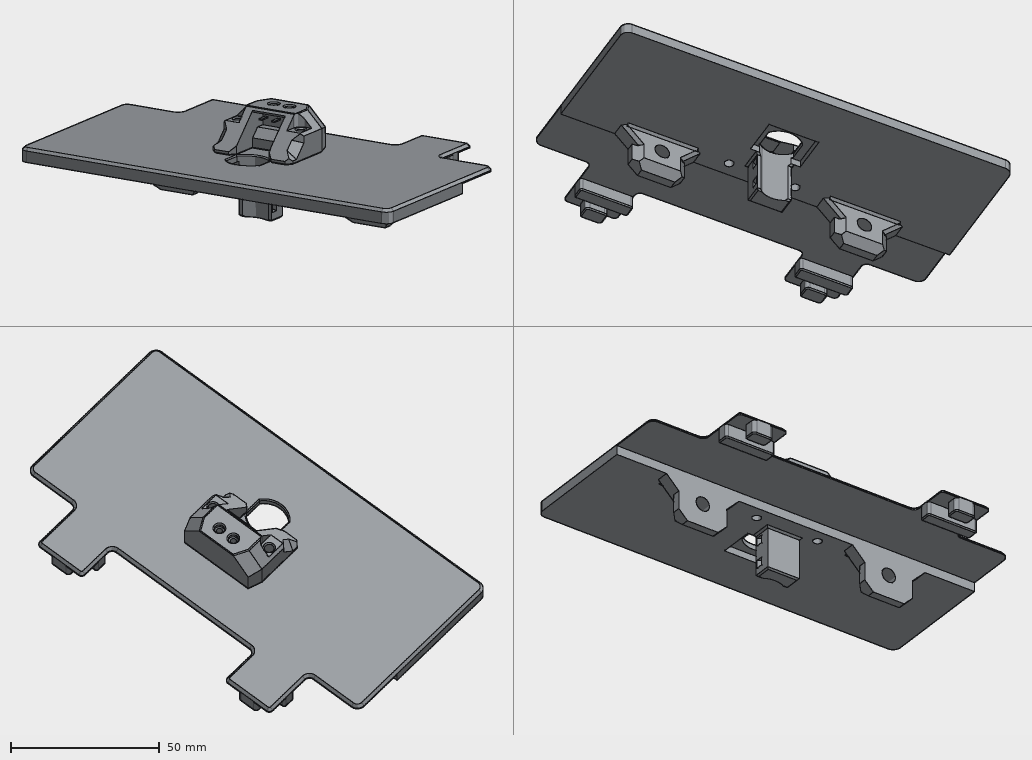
import cadquery as cq
import math


plate_length = 147.6
plate_depth = 66.0
middle_depth = 70.8
tab_depth = 86.0
tab_width = 20.0
tab_center_x = 41.8
thick = 5.0
thin = 1.5
thick_depth = 46.0
corner_radius = 3.0
tab_tip_radius = 1.5
tab_root_radius = 2.0
edge_chamfer = 1.0

foot_bottom = -6.6
foot_chamfer = 0.5
front_foot_depth = 4.9
front_foot_rear = 78.5
front_foot_radius = 0.9
rear_foot_depth = 5.3
rear_foot_width = 8.3
rear_foot_radius = 1.3

lug_x = 38.4
lug_width = 19.8
lug_depth = 5.9
lug_bottom = -20.7
lug_chamfer = 3.0
lug_corner = 3.5
lug_hole_diameter = 5.5
lug_hole_z = -11.7
gusset_top_width = 30.0
gusset_height = 6.5
gusset_chamfer = 1.2
root_flare = 0.9

opening_y = 27.5
opening_size = 13.0
opening_radius = 8.4
opening_chamfer = 0.5
lip_thickness = 2.4
relief_margin = 3.0
relief_back = 31.5
sleeve_front = 32.2
sleeve_back = 39.0
sleeve_bottom = -21.7
sleeve_chamfer = 0.6
sleeve_flare = 0.7
tie_inner_radius = 9.6
tie_outer_radius = 11.7
tie_height = 3.1
tie_levels = (-8.1, -17.0)

holder_width = 31.9
holder_height = 14.3
holder_back = 53.7
holder_front = 28.6
side_bevel = 5.9
toe_height = 1.3
back_taper_depth = 5.0
back_taper_base = 1.8
back_taper_top = 2.7
top_chamfer = 0.3
base_chamfer = 0.5
leg_chamfer = 1.9
bevel_size = 3.0
bevel_start_y = 37.5
channel_width = opening_size
sill_front = 40.6
sill_slope = 3.1

screw_x = 12.5
screw_y = 41.0
screw_diameter = 3.2
screw_chamfer = 0.5
seat_z = 9.5
seat_radius = 3.0

switch_bottom = 6.8
switch_top = 12.7
switch_front = 47.0
switch_back = 53.1
mount_x = 3.1
mount_y = 48.5
mount_diameter = 3.4
mount_chamfer = 0.5
switch_hole_diameter = 2.0
sill_hole_diameter = 1.9
sill_hole_depth = 4.5
terminal_pitch = 5.0
terminal_width = 1.2
terminal_thickness = 0.5
terminal_length = 3.8

both_sides = (-1, 1)


def block(x0, x1, y0, y1, z0, z1):
    return cq.Workplane("XY").box(x1 - x0, y1 - y0, z1 - z0, centered=False).translate((x0, y0, z0))


def prism_along_x(points, width):
    """Extrude a (y, z) outline symmetrically about X = 0."""
    return cq.Workplane("YZ").polyline(points).close().extrude(width / 2, both=True)


def cylinder(x, y, diameter, z0, z1):
    return cq.Workplane("XY", origin=(x, y, z0)).circle(diameter / 2).extrude(z1 - z0)


def chamfered_rim(x, y, diameter, chamfer, z):
    """Conical cutter that opens a hole upward to its rim at height z."""
    cone = cq.Solid.makeCone(diameter / 2, diameter / 2 + chamfer, chamfer, pnt=cq.Vector(x, y, z - chamfer))
    return cq.Workplane("XY").add(cone)



def slab():
    half = plate_length / 2
    body = block(-half, half, 0, plate_depth, -thin, 0)
    inner = tab_center_x - tab_width / 2
    body = body.union(block(-inner, inner, 0, middle_depth, -thin, 0))
    for side in both_sides:
        x = side * tab_center_x
        body = body.union(block(x - tab_width / 2, x + tab_width / 2, 0, tab_depth, -thin, 0))
    body = body.union(block(-half, half, 0, thick_depth, -thick, 0)).clean()

    outer = tab_center_x + tab_width / 2

    def upright_edges(points):
        picked = cq.selectors.BoxSelector((0, 0, 0), (0, 0, 0))
        for x, y in points:
            box = cq.selectors.BoxSelector((x - 0.1, y - 0.1, -thick), (x + 0.1, y + 0.1, 0))
            picked = picked + box
        return body.edges("|Z").edges(picked)

    mirrored = [(s * half, y) for s in both_sides for y in (0, plate_depth)]
    body = upright_edges(mirrored).fillet(corner_radius)
    body = upright_edges([(s * x, tab_depth) for s in both_sides for x in (inner, outer)]).fillet(tab_tip_radius)
    roots = [(s * x, y) for s in both_sides for x, y in ((inner, middle_depth), (outer, plate_depth))]
    body = upright_edges(roots).fillet(tab_root_radius)
    return body.faces(">Z").edges().chamfer(edge_chamfer)


def tab_feet(x):
    def foot(width, y_rear, depth, radius):
        shape = block(x - width / 2, x + width / 2, y_rear - depth, y_rear, foot_bottom, -edge_chamfer)
        return shape.edges("|Z").fillet(radius).faces("<Z").edges().chamfer(foot_chamfer)

    front = foot(tab_width, front_foot_rear, front_foot_depth, front_foot_radius)
    rear = foot(rear_foot_width, tab_depth, rear_foot_depth, rear_foot_radius)
    return front.union(rear.intersect(block(x - tab_width, x + tab_width, 0, tab_depth, foot_bottom, -thin)))


def lug():
    half = lug_width / 2
    front = thick_depth - lug_depth
    plate = block(-half, half, front, thick_depth, lug_bottom, -thick)
    plate = plate.faces("<Y").edges("|Z or <Z").chamfer(lug_chamfer)
    for side in both_sides:
        corner = [
            (side * half, lug_bottom),
            (side * (half - lug_corner), lug_bottom),
            (side * half, lug_bottom + lug_corner),
        ]
        cutter = cq.Workplane("XZ", origin=(0, thick_depth, 0)).polyline(corner).close().extrude(lug_depth)
        plate = plate.cut(cutter)

    top = gusset_top_width / 2
    foot = top - gusset_height
    outline = [(-top, -thick), (top, -thick), (foot, -thick - gusset_height), (-foot, -thick - gusset_height)]
    gusset = cq.Workplane("XZ", origin=(0, thick_depth, 0)).polyline(outline).close().extrude(lug_depth)
    gusset = gusset.faces("<Y").edges("not |X").chamfer(gusset_chamfer)

    flare_width = gusset_top_width - 2 * gusset_chamfer * math.sqrt(2)
    flare = prism_along_x(
        [(front, -thick), (front - root_flare, -thick), (front, -thick - root_flare)], flare_width
    )
    body = plate.union(gusset).union(flare)
    hole = cq.Workplane("XZ", origin=(0, thick_depth, lug_hole_z)).circle(lug_hole_diameter / 2).extrude(lug_depth)
    return body.cut(hole)


def opening():
    """Cable opening with straight sides and arched ends."""
    half = opening_size / 2
    shoulder = half - opening_radius + math.sqrt(opening_radius ** 2 - half ** 2)
    return (
        cq.Workplane("XY", origin=(0, opening_y, -thick))
        .moveTo(-half, -shoulder)
        .threePointArc((0, -half), (half, -shoulder))
        .lineTo(half, shoulder)
        .threePointArc((0, half), (-half, shoulder))
        .close()
        .extrude(thick)
    )


def opening_relief():
    """Shallow recess under the plate, around the part of the opening ahead of the sleeve."""
    reach = opening_size / 2 + relief_margin
    return block(-reach, reach, opening_y - reach, relief_back, -thick, -lip_thickness)


def sleeve():
    half = opening_size / 2
    bore_center = opening_y + half - opening_radius
    depth = sleeve_back - sleeve_front
    body = block(-half, half, sleeve_front, sleeve_back, sleeve_bottom, -thick)
    body = body.faces("<Z").edges().chamfer(sleeve_chamfer)
    flare = (
        cq.Workplane("XY", origin=(0, sleeve_front + depth / 2, -thick))
        .rect(opening_size + 2 * sleeve_flare, depth + 2 * sleeve_flare)
        .workplane(offset=-sleeve_flare)
        .rect(opening_size, depth)
        .loft(ruled=True)
    )
    body = body.union(flare)
    body = body.cut(cylinder(0, bore_center, 2 * opening_radius, sleeve_bottom, -thick))
    for level in tie_levels:
        z0 = level - tie_height / 2
        ring = cylinder(0, bore_center, 2 * tie_outer_radius, z0, z0 + tie_height)
        ring = ring.cut(cylinder(0, bore_center, 2 * tie_inner_radius, z0, z0 + tie_height))
        body = body.cut(ring)
    return body


def make_plate():
    body = slab()
    for side in both_sides:
        body = body.union(tab_feet(side * tab_center_x))
        body = body.union(lug().translate((side * lug_x, 0, 0)))
    body = body.cut(opening())
    rim = body.faces(">Z").edges(
        cq.selectors.BoxSelector(
            (-opening_size, opening_y - opening_size, -0.1), (opening_size, opening_y + opening_size, 0.1)
        )
    )
    body = rim.chamfer(opening_chamfer).cut(opening_relief())
    body = body.union(sleeve())
    for side in both_sides:
        body = body.cut(cylinder(side * screw_x, screw_y, screw_diameter, -thick, 0))
    return body



def holder_section(base_half, top_half):
    shoulder = holder_height - (base_half - top_half)
    return [
        (-base_half, 0), (base_half, 0), (base_half, shoulder),
        (top_half, holder_height), (-top_half, holder_height), (-base_half, shoulder),
    ]


def holder_blank():
    half = holder_width / 2
    top_half = half - side_bevel
    taper_start = holder_back - back_taper_depth
    full = holder_section(half, top_half)
    narrow = holder_section(half - back_taper_base, top_half - back_taper_top)
    front = cq.Workplane("XZ", origin=(0, taper_start, 0)).polyline(full).close()
    body = front.extrude(taper_start - holder_front)
    back = (
        cq.Workplane("XZ", origin=(0, holder_back, 0)).polyline(narrow).close()
        .workplane(offset=back_taper_depth).polyline(full).close().loft(ruled=True)
    )
    body = body.union(back)

    slope_run = holder_height - toe_height
    over_slope = prism_along_x(
        [
            (holder_front, toe_height),
            (holder_front + slope_run, holder_height),
            (holder_front, holder_height),
        ],
        holder_width,
    )
    body = body.cut(over_slope)
    return body.faces(">Z").edges().chamfer(top_chamfer)


def switch_channel():
    """Open passage between the legs, with a sloped sill and the switch pocket above it."""
    outline = [
        (holder_front, 0),
        (sill_front, 0),
        (sill_front, switch_bottom - sill_slope),
        (sill_front + sill_slope, switch_bottom),
        (switch_back, switch_bottom),
        (switch_back, switch_top),
        (sill_front, switch_top),
        (sill_front, holder_height),
        (holder_front, holder_height),
    ]
    return prism_along_x(outline, channel_width)


def leg_corner_cut(x, direction):
    """Upright 45 degree corner cut at a front corner of a leg."""
    points = [(x, holder_front), (x + direction * leg_chamfer, holder_front), (x, holder_front + leg_chamfer)]
    return cq.Workplane("XY").polyline(points).close().extrude(holder_height)


def slope_bevel():
    """Bevel along the right edge of the front slope, ended above and below by 45 degree faces."""
    half = holder_width / 2
    run = holder_height
    drop = bevel_size * math.sqrt(2)
    y_low = holder_front - toe_height

    section = [(half, y_low + drop), (half - bevel_size, y_low), (half, y_low)]
    base = cq.Wire.makePolygon([cq.Vector(x, y, 0) for x, y in section], close=True)
    prism = cq.Solid.extrudeLinear(cq.Face.makeFromWires(base), cq.Vector(0, run, run))
    reach = 2 * bevel_size * math.sqrt(2)
    upper_limit = (
        cq.Workplane("XY")
        .polyline([(half, bevel_start_y), (half - reach, bevel_start_y - reach), (half - reach, 0), (half, 0)])
        .close()
        .extrude(holder_height)
    )
    lower_limit = (
        cq.Workplane("XZ", origin=(0, holder_back, 0))
        .polyline(
            [
                (half, toe_height),
                (half, holder_height),
                (half - reach, holder_height),
                (half - reach, toe_height + reach),
            ]
        )
        .close()
        .extrude(holder_back)
    )
    return upper_limit.intersect(lower_limit).intersect(cq.Workplane("XY").add(prism))


def seat_pocket():
    """Screw seat open to the front and the side, with one rounded inner corner."""
    inner = screw_x - seat_radius
    pocket = block(
        inner, holder_width / 2, holder_front, screw_y + seat_radius, seat_z, holder_height
    )
    return pocket.edges("|Z and <X and >Y").fillet(seat_radius)


def make_holder():
    body = holder_blank().cut(switch_channel())
    leg_corners = leg_corner_cut(holder_width / 2, -1).union(leg_corner_cut(channel_width / 2, 1))
    body = body.cut(leg_corners).cut(leg_corners.mirror("YZ"))
    body = body.faces("<Z").edges().chamfer(base_chamfer)
    right_cuts = [
        slope_bevel(),
        seat_pocket(),
        cylinder(screw_x, screw_y, screw_diameter, 0, holder_height),
        chamfered_rim(screw_x, screw_y, screw_diameter, screw_chamfer, seat_z),
        cylinder(mount_x, mount_y, mount_diameter, switch_top, holder_height),
        chamfered_rim(mount_x, mount_y, mount_diameter, mount_chamfer, holder_height),
        cylinder(mount_x, mount_y, sill_hole_diameter, switch_bottom - sill_hole_depth, switch_bottom),
    ]
    for cutter in right_cuts:
        body = body.cut(cutter).cut(cutter.mirror("YZ"))
    return body



def make_switch():
    half = channel_width / 2
    body = block(-half, half, switch_front, switch_back, switch_bottom, switch_top)
    for side in both_sides:
        body = body.cut(cylinder(side * mount_x, mount_y, switch_hole_diameter, switch_bottom, switch_top))
    middle = (switch_bottom + switch_top) / 2
    for position in (-1, 0, 1):
        x = position * terminal_pitch
        body = body.union(
            block(
                x - terminal_width / 2, x + terminal_width / 2,
                switch_front - terminal_length, switch_front,
                middle - terminal_thickness / 2, middle + terminal_thickness / 2,
            )
        )
    return body


plate = make_plate()
holder = make_holder()
switch = make_switch()

result = cq.Compound.makeCompound([plate.val(), holder.val(), switch.val()])